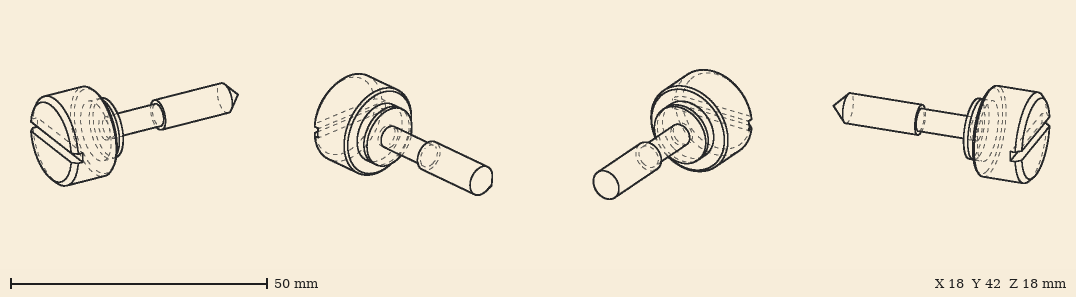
import cadquery as cq

total_length = 42.0

head_radius = 18.0 / 2
head_length = 10.0
front_chamfer = 1.0
back_chamfer = 0.5
slot_width = 2.0
slot_depth = 2.0

collar_radius = 12.0 / 2
collar_and_ring_length = 2.8
ring_thickness = 0.9

neck_radius = 4.5 / 2
shank_radius = 6.0 / 2
shank_length = 15.0
tip_length = shank_radius

face_y = -total_length / 2
head_back_y = face_y + head_length
ring_back_y = head_back_y + collar_and_ring_length
ring_front_y = ring_back_y - ring_thickness
tip_end_y = face_y + total_length
shank_end_y = tip_end_y - tip_length
shank_start_y = shank_end_y - shank_length


def make_screw():
    """Turned screw: chamfered head, collar, neck, shank and conical tip."""
    profile = [
        (0, face_y),
        (head_radius - front_chamfer, face_y),
        (head_radius, face_y + front_chamfer),
        (head_radius, head_back_y - back_chamfer),
        (head_radius - back_chamfer, head_back_y),
        (collar_radius, head_back_y),
        (collar_radius, ring_front_y),
        (neck_radius, ring_front_y),
        (neck_radius, shank_start_y),
        (shank_radius, shank_start_y),
        (shank_radius, shank_end_y),
        (0, tip_end_y),
    ]
    body = cq.Workplane("XY").polyline(profile).close().revolve(360, (0, 0), (0, 1))
    return body.cut(make_slot())


def make_slot():
    """Screwdriver slot running along X across the whole head face."""
    return cq.Workplane("XY").box(
        2 * head_radius, slot_depth, slot_width, centered=(True, False, True)
    ).translate((0, face_y, 0))


def make_ring():
    """Flat ring around the neck, seated against the collar."""
    return (
        cq.Workplane("XZ", origin=(0, ring_back_y, 0))
        .circle(collar_radius)
        .circle(neck_radius)
        .extrude(ring_thickness)
    )


screw = make_screw()
ring = make_ring()

result = cq.Compound.makeCompound([screw.val(), ring.val()])